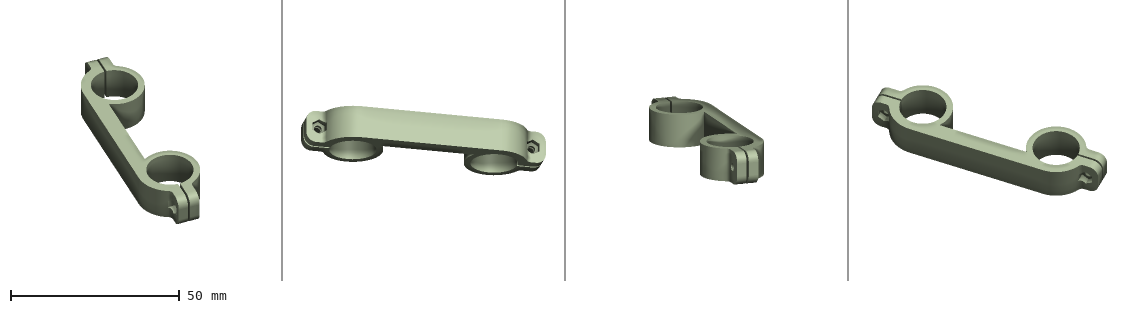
import cadquery as cq
import math

length = 73
height = 10.0

bore_radius = 7.0
ring_radius = 9.0
front_radius = 10.0
ring_offset = 21.5
beam_thickness = 5.0

ear_width = 6.7
ear_corner_radius = 3.0
ear_root_fillet = 1.45
slot_width = 0.65

screw_diameter = 2.3
screw_edge_distance = 3.95
nut_across_flats = 4.1
nut_across_corners = nut_across_flats / math.cos(math.radians(30))
nut_pocket_depth = 2.0

end_x = length / 2
ear_front_y = -ear_width / 2
overlap = 0.7
sides = (-1, 1)


def slab(x_size, y_min, y_max):
    """Full-height block centred on X and resting on Z = 0."""
    block = cq.Workplane("XY").box(x_size, y_max - y_min, height, centered=(True, False, False))
    return block.translate((0, y_min, 0))


def ring_body(side):
    """Ring with a larger-radius quarter on its outer front side."""
    centre = (side * ring_offset, 0)
    ring = cq.Workplane("XY").center(*centre).circle(ring_radius).extrude(height)
    front_quarter = (
        cq.Workplane("XY")
        .center(*centre)
        .circle(front_radius)
        .extrude(height)
        .intersect(
            cq.Workplane("XY")
            .center(*centre)
            .rect(side * front_radius, -front_radius, centered=False)
            .extrude(height)
        )
    )
    return ring.union(front_quarter)


def ear(side):
    """Ear reaching from the ring centre to the end, with rounded outer corners."""
    ear_length = end_x - ring_offset
    return (
        slab(ear_length, ear_front_y, -ear_front_y)
        .translate((side * (ring_offset + ear_length / 2), 0, 0))
        .faces(">X" if side > 0 else "<X")
        .edges("|Y")
        .fillet(ear_corner_radius)
    )


def screw_cut(side):
    """Screw hole along Y and a nut pocket that also clears the ear root."""
    screw_x = side * (end_x - screw_edge_distance)
    plane = cq.Plane(origin=(screw_x, -front_radius, height / 2), xDir=(0, 0, 1), normal=(0, 1, 0))
    hole = cq.Workplane(plane).circle(screw_diameter / 2).extrude(2 * front_radius)
    pocket = (
        cq.Workplane(plane)
        .polygon(6, nut_across_corners)
        .extrude(front_radius + ear_front_y + nut_pocket_depth)
    )
    return hole.union(pocket)


result = slab(2 * ring_offset, -front_radius, -front_radius + beam_thickness)

for side in sides:
    result = result.union(ring_body(side)).union(ear(side))

root_x_min = ring_offset + bore_radius
for side in sides:
    root_zone = cq.selectors.BoxSelector(
        (side * root_x_min, -ear_width, 0),
        (side * (end_x - ear_corner_radius), ear_width, height),
    )
    result = result.edges("|Z").edges(root_zone).fillet(ear_root_fillet)

for side in sides:
    bore = cq.Workplane("XY").center(side * ring_offset, 0).circle(bore_radius).extrude(height)
    slot_length = end_x - ring_offset + overlap
    slot = slab(slot_length, -slot_width / 2, slot_width / 2).translate(
        (side * (ring_offset + slot_length / 2), 0, 0)
    )
    result = result.cut(bore).cut(slot).cut(screw_cut(side))